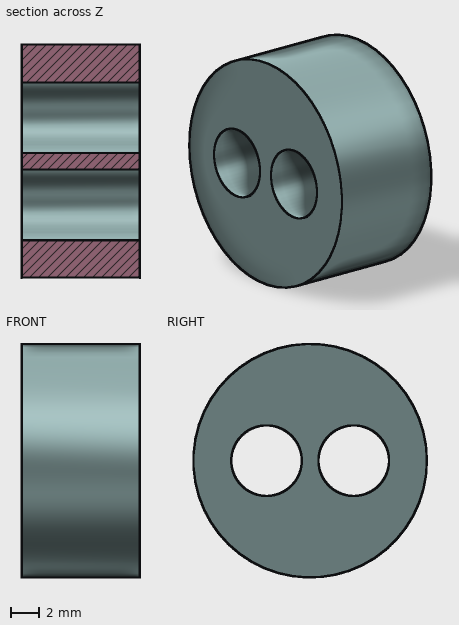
import cadquery as cq

body_diameter = 16.6
body_length = 8.4
hole_diameter = 5.0
hole_spacing = 6.2

body = cq.Workplane("YZ").circle(body_diameter / 2).extrude(body_length)

holes = (
    cq.Workplane("YZ")
    .pushPoints([(-hole_spacing / 2, 0), (hole_spacing / 2, 0)])
    .circle(hole_diameter / 2)
    .extrude(body_length)
)

result = body.cut(holes)